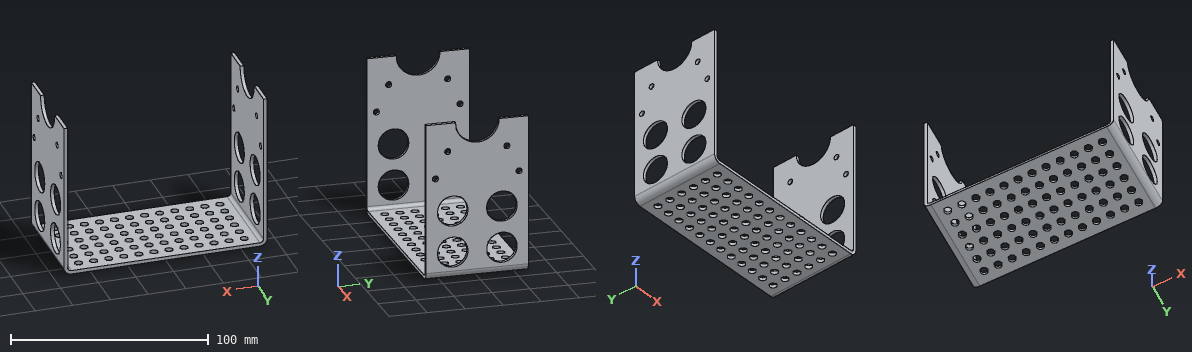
import cadquery as cq

length = 108.0
width = 54.0
height = 83.3
sheet = 2.0
bend_outer_radius = 4.0
bend_inner_radius = bend_outer_radius - sheet

grid_columns = 12
grid_rows = 6
grid_pitch = 8.0
grid_hole_diameter = 4.0

notch_radius = 11.5
window_diameter = 16.0
window_y = 13.0
lower_window_z = 14.1
window_spacing_z = 22.0
window_heights = [lower_window_z, lower_window_z + window_spacing_z]

screw_diameter = 3.0
upper_screw_y = 15.5
upper_screw_depth = 15.0
lower_screw_y = 22.0
lower_screw_depth = 29.0


def channel():
    """U-shaped sheet, open at the top, with rounded bends along Y."""
    outer = (
        cq.Workplane("XY")
        .box(length, width, height, centered=(True, True, False))
        .edges("|Y and <Z")
        .fillet(bend_outer_radius)
    )
    inner = (
        cq.Workplane("XY")
        .workplane(offset=sheet)
        .box(length - 2 * sheet, width, height, centered=(True, True, False))
        .edges("|Y and <Z")
        .fillet(bend_inner_radius)
    )
    return outer.cut(inner)


def floor_holes():
    """Grid of round cutters passing through the floor only."""
    return (
        cq.Workplane("XY")
        .rarray(grid_pitch, grid_pitch, grid_columns, grid_rows)
        .circle(grid_hole_diameter / 2)
        .extrude(sheet)
    )


def wall_holes(points, diameter):
    """Cutters along X through both walls, at (y, z) points."""
    return (
        cq.Workplane("YZ")
        .pushPoints(points)
        .circle(diameter / 2)
        .extrude(length / 2, both=True)
    )


def mirrored_pair(y, z):
    """Two points placed symmetrically about the centre line of a wall."""
    return [(-y, z), (y, z)]


window_points = []
for window_z in window_heights:
    window_points += mirrored_pair(window_y, window_z)

screw_points = mirrored_pair(upper_screw_y, height - upper_screw_depth)
screw_points += mirrored_pair(lower_screw_y, height - lower_screw_depth)

notch_points = [(0, height)]

result = (
    channel()
    .cut(floor_holes())
    .cut(wall_holes(notch_points, 2 * notch_radius))
    .cut(wall_holes(window_points, window_diameter))
    .cut(wall_holes(screw_points, screw_diameter))
)